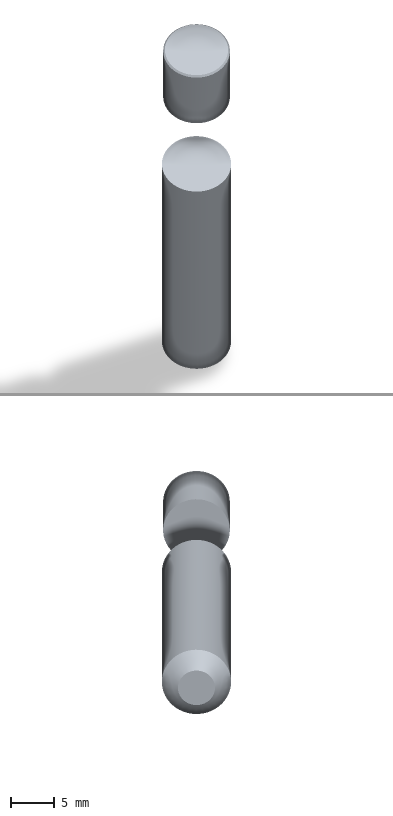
import cadquery as cq

pin_diameter = 8.0
overall_height = 58.0
pin_length = 36.0
pin_chamfer = 1.85
cap_diameter = 7.7
cap_length = 9.0
cap_chamfer = 0.205


def make_pin():
    """Long pin with a chamfered lower end."""
    pin = cq.Workplane("XY").circle(pin_diameter / 2).extrude(pin_length)
    return pin.faces("<Z").chamfer(pin_chamfer)


def make_cap():
    """Short, slightly slimmer cylinder held clear above the pin, its top edge chamfered."""
    cap_bottom = overall_height - cap_length
    cap = cq.Workplane("XY").workplane(offset=cap_bottom).circle(cap_diameter / 2).extrude(cap_length)
    return cap.faces(">Z").chamfer(cap_chamfer)


pin = make_pin()
cap = make_cap()

result = cq.Compound.makeCompound([pin.val(), cap.val()])